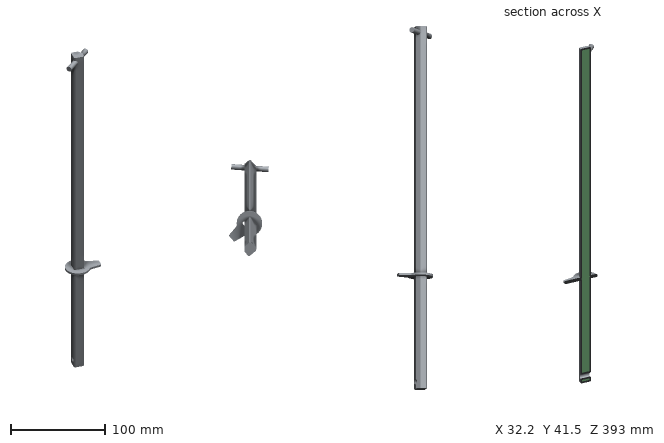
import cadquery as cq
import math

bar_length = 393
bar_width = 11.5
wide_chamfer = 4.0
small_chamfer = 1.0

pin_diameter = 6.0
pin_extent = 32.2
pin_length = pin_extent * math.sqrt(2) - pin_diameter
pin_drop = 6.5
pin_shift = 0.5

hole_diameter = 6.0
hole_height = 7.5

overall_depth = 41.5
collar_diameter = 27.0
collar_thickness = 2.5
collar_middle = 122.5
pointer_tip = overall_depth - pin_extent / 2 - pin_shift
tip_half_width = 4.5
tip_corner = 1.0
root_half_width = 6.5
root_y = 11.5
root_fillet = 3.0


def make_bar():
    bar = cq.Workplane("XY").box(bar_width, bar_width, bar_length, centered=(True, True, False))
    wide_edge = "|Z and <X and >Y"
    small_edges = "|Z and (>X or <Y)"
    return bar.edges(small_edges).chamfer(small_chamfer).edges(wide_edge).chamfer(wide_chamfer)


def make_cross_pin():
    axis = cq.Vector(1, -1, 0).normalized()
    middle = cq.Vector(pin_shift, -pin_shift, bar_length - pin_drop)
    start = middle - axis * (pin_length / 2)
    return cq.Workplane(obj=cq.Solid.makeCylinder(pin_diameter / 2, pin_length, start, axis))


def make_collar():
    base = cq.Workplane("XY").workplane(offset=collar_middle - collar_thickness / 2)
    disc = base.circle(collar_diameter / 2).extrude(collar_thickness)
    pointer = (
        base.moveTo(-root_half_width, 0)
        .lineTo(-root_half_width, root_y)
        .lineTo(-tip_half_width, pointer_tip)
        .lineTo(tip_half_width, pointer_tip)
        .lineTo(root_half_width, root_y)
        .lineTo(root_half_width, 0)
        .close()
        .extrude(collar_thickness)
        .edges("|Z and >Y")
        .fillet(tip_corner)
    )
    roots = cq.selectors.BoxSelector(
        (-root_half_width - tip_corner, root_y - tip_corner, 0),
        (root_half_width + tip_corner, root_y + tip_corner, bar_length),
    )
    collar = disc.union(pointer).edges("|Z").edges(roots).fillet(root_fillet)
    return collar.cut(base.rect(bar_width, bar_width).extrude(collar_thickness))


def make_cross_hole():
    drill = cq.Workplane("XZ").center(0, hole_height).circle(hole_diameter / 2)
    return drill.extrude(bar_width, both=True)


result = make_bar().cut(make_cross_hole()).union(make_collar()).union(make_cross_pin())